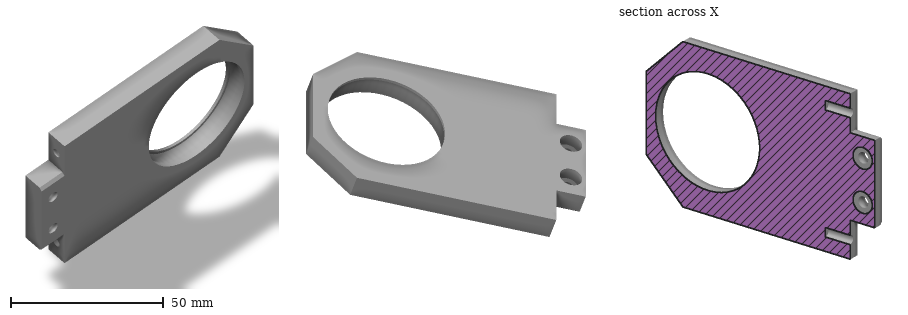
import cadquery as cq

thickness = 8.0
length = 93.0
height = 60.0
corner_cut = 15.0

tongue_length = 10.0
tongue_height = 31.8
tongue_chamfer = 1.0

bore_from_end = 25.0
lip_diameter = 40.0
lip_thickness = 1.0
bore_diameter = 42.0

screw_diameter = 4.1
head_diameter = 7.6
head_depth = 4.4
screw_spacing = 16.0
screw_from_end = 5.0

shoulder_hole_diameter = 3.3
shoulder_hole_depth = 10.0
shoulder_hole_spacing = 45.9

face_x = -thickness / 2
end_y = length / 2
shoulder_y = -end_y + tongue_length


def make_body():
    """Plate with two cut corners at +Y and a shorter plain end at -Y."""
    top = height / 2
    outline = [
        (shoulder_y, -top),
        (end_y - corner_cut, -top),
        (end_y, -top + corner_cut),
        (end_y, top - corner_cut),
        (end_y - corner_cut, top),
        (shoulder_y, top),
    ]
    return cq.Workplane("YZ", origin=(face_x, 0, 0)).polyline(outline).close().extrude(thickness)


def make_tongue():
    """Block on the -Y end, chamfered along its upper and lower +X edges."""
    centre_y = shoulder_y - tongue_length / 2
    block = cq.Workplane("XY").box(thickness, tongue_length, tongue_height)
    return block.edges("|Y and >X").chamfer(tongue_chamfer).translate((0, centre_y, 0))


def bore_along_x(diameter, y, z, start_x, depth):
    """Cylinder running in +X from start_x."""
    return cq.Workplane("YZ", origin=(start_x, y, z)).circle(diameter / 2).extrude(depth)


def shoulder_hole(z):
    """Cylinder running in +Y from the shoulder face."""
    plane = cq.Workplane("XZ", origin=(0, shoulder_y, z))
    return plane.circle(shoulder_hole_diameter / 2).extrude(-shoulder_hole_depth)


result = make_body().union(make_tongue())

bore_y = end_y - bore_from_end
result = result.cut(bore_along_x(lip_diameter, bore_y, 0, face_x, thickness))
result = result.cut(bore_along_x(bore_diameter, bore_y, 0, face_x + lip_thickness, thickness))

screw_y = -end_y + screw_from_end
for side in (-1, 1):
    screw_z = side * screw_spacing / 2
    result = result.cut(bore_along_x(screw_diameter, screw_y, screw_z, face_x, thickness))
    result = result.cut(bore_along_x(head_diameter, screw_y, screw_z, face_x, head_depth))
    result = result.cut(shoulder_hole(side * shoulder_hole_spacing / 2))